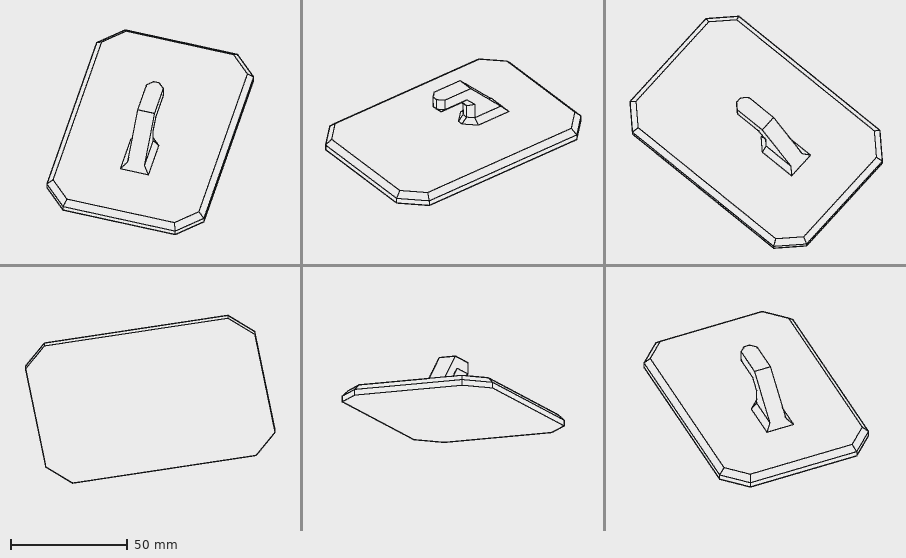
import cadquery as cq
import math

plate_width = 70.0
plate_length = 100.0
plate_thickness = 5.0
plate_corner_cut = 10.0

bevel = 2.5

total_height = 23.8
bar_size = 7.5
tip_y = 10.0
stem_front_y = -6.3
bend_run = 2.8

half_bar = bar_size / 2
arm_bottom_z = total_height - bar_size
bend_front_y = stem_front_y + bend_run
bend_bottom_z = arm_bottom_z - bend_run
flare_top_z = plate_thickness + bevel

back_offset = bend_front_y - arm_bottom_z - bar_size * math.sqrt(2)


def back_y(z):
    """Y position of the sloping back face at height z."""
    return z + back_offset


def make_plate():
    plate = cq.Workplane("XY").box(
        plate_width, plate_length, plate_thickness, centered=(True, True, False)
    )
    plate = plate.edges("|Z").chamfer(plate_corner_cut)
    return plate.faces(">Z").edges().chamfer(bevel)


def make_hook():
    inner_contour = [
        (tip_y, total_height),
        (tip_y, arm_bottom_z),
        (bend_front_y, arm_bottom_z),
        (stem_front_y, bend_bottom_z),
        (stem_front_y, plate_thickness),
    ]
    back_contour = [
        (back_y(plate_thickness), plate_thickness),
        (back_y(total_height), total_height),
    ]
    profile = cq.Workplane("YZ").polyline(inner_contour + back_contour).close()
    hook = profile.extrude(half_bar, both=True)

    edge_middles = [(0, tip_y, arm_bottom_z)]
    for (start_y, start_z), (end_y, end_z) in zip(inner_contour, inner_contour[1:]):
        middle_y = (start_y + end_y) / 2
        middle_z = (start_z + end_z) / 2
        edge_middles += [(side * half_bar, middle_y, middle_z) for side in (-1, 1)]
    nearest = cq.selectors.NearestToPointSelector
    beveled_edges = [hook.edges(nearest(middle)).val() for middle in edge_middles]
    return hook.newObject(beveled_edges).chamfer(bevel)


def foot_outline(half_width, front_y, z):
    """Outline of the foot at height z: flat front, cut front corners, back on the slope."""
    half_front = half_bar - bevel
    side_start_y = stem_front_y - bevel
    return [
        (half_front, front_y, z),
        (half_width, side_start_y, z),
        (half_width, back_y(z), z),
        (-half_width, back_y(z), z),
        (-half_width, side_start_y, z),
        (-half_front, front_y, z),
    ]


def make_foot():
    lower = foot_outline(half_bar + bevel, stem_front_y + bevel, plate_thickness)
    upper = foot_outline(half_bar, stem_front_y, flare_top_z)
    wires = [
        cq.Wire.makePolygon([cq.Vector(*point) for point in outline], close=True)
        for outline in (lower, upper)
    ]
    return cq.Workplane(obj=cq.Solid.makeLoft(wires, True))


result = make_plate().union(make_hook()).union(make_foot())